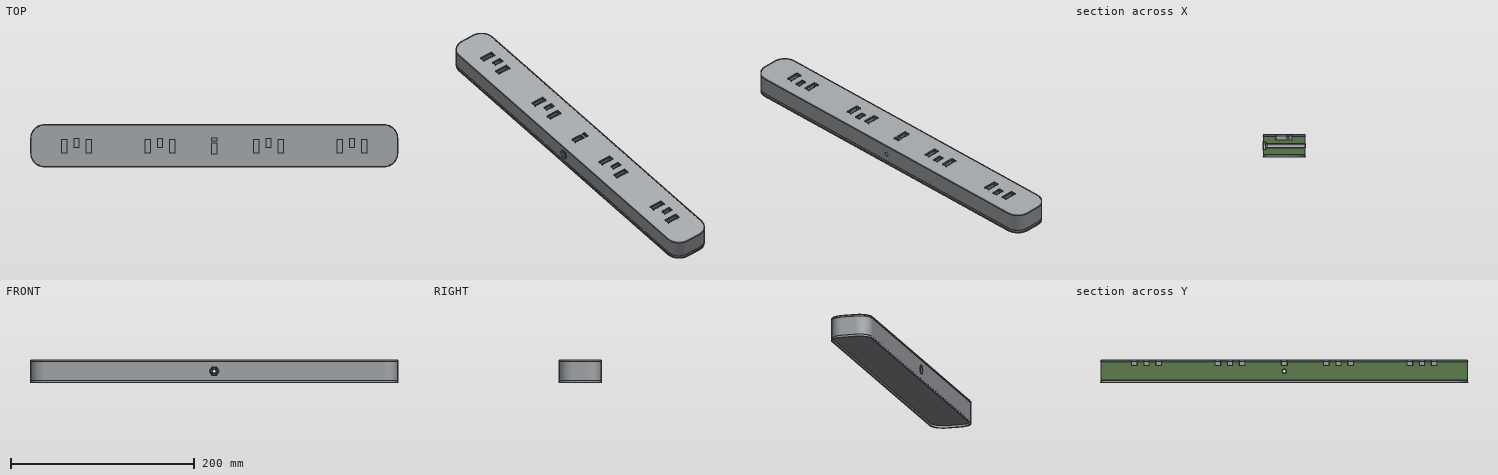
import cadquery as cq

LENGTH = 400.0
WIDTH = 46.0
HEIGHT = 25.0
LID_THICKNESS = 2.0
LID_EDGE_FILLET = 1.0
HOUSING_HEIGHT = HEIGHT - LID_THICKNESS

RIM_THICKNESS = 1.0
RECESS_CORNER_RADIUS = 14.0
RECESS_DEPTH = 2.6
CORNER_RADIUS = RECESS_CORNER_RADIUS + RIM_THICKNESS

INNER_SOCKET_X = 59.0
OUTER_SOCKET_X = 150.0
SOCKET_CENTERS_X = (-OUTER_SOCKET_X, -INNER_SOCKET_X, INNER_SOCKET_X, OUTER_SOCKET_X)
SLOT_DEPTH = 6.0
BLADE_OFFSET_X = 13.0
BLADE_Y = -0.5
BLADE_WIDTH = 6.0
BLADE_LENGTH = 15.0
GROUND_Y = 3.0
GROUND_WIDTH = 5.0
GROUND_LENGTH = 10.0

MIDDLE_WIDTH = 6.0
SMALL_OPENING_Y = 7.0
SMALL_OPENING_LENGTH = 3.0
LARGE_OPENING_Y = -3.0
LARGE_OPENING_LENGTH = 12.0

INLET_Z = HEIGHT / 2
HEX_ACROSS_CORNERS = 10.5
HEX_DEPTH = 0.5
INLET_STEP = 2.0
OUTER_COUNTERBORE_DIAMETER = 8.0
INNER_COUNTERBORE_DIAMETER = 5.0
BORE_DIAMETER = 4.0


def rounded_block(length, width, height, corner_radius, bottom_z):
    """Upright block with rounded vertical edges, centred on the Z axis."""
    block = cq.Workplane().box(length, width, height, centered=(True, True, False))
    return block.edges("|Z").fillet(corner_radius).translate((0, 0, bottom_z))


def top_slot(x, y, width, length):
    """Cutter for a rectangular pocket sunk from the top of the lid."""
    slot = cq.Workplane().box(width, length, SLOT_DEPTH, centered=(True, True, False))
    return slot.translate((x, y, HEIGHT - SLOT_DEPTH))


def slot_cutters():
    """All pockets in the top: four sockets and the middle pair."""
    cutters = [
        top_slot(0, SMALL_OPENING_Y, MIDDLE_WIDTH, SMALL_OPENING_LENGTH),
        top_slot(0, LARGE_OPENING_Y, MIDDLE_WIDTH, LARGE_OPENING_LENGTH),
    ]
    for socket_x in SOCKET_CENTERS_X:
        cutters.append(top_slot(socket_x, GROUND_Y, GROUND_WIDTH, GROUND_LENGTH))
        for side in (-1, 1):
            blade_x = socket_x + side * BLADE_OFFSET_X
            cutters.append(top_slot(blade_x, BLADE_Y, BLADE_WIDTH, BLADE_LENGTH))
    return cutters


def inlet_cutter():
    """Cutter for the stepped inlet, entering from the -Y wall and leaving through the +Y wall."""
    wall = cq.Workplane("XZ", origin=(0, -WIDTH / 2, INLET_Z))
    cutter = wall.polygon(6, HEX_ACROSS_CORNERS).extrude(-HEX_DEPTH)
    outer_depth = HEX_DEPTH + INLET_STEP
    inner_depth = outer_depth + INLET_STEP
    steps = (
        (OUTER_COUNTERBORE_DIAMETER, outer_depth),
        (INNER_COUNTERBORE_DIAMETER, inner_depth),
        (BORE_DIAMETER, WIDTH),
    )
    for diameter, depth in steps:
        cutter = cutter.union(wall.circle(diameter / 2).extrude(-depth))
    return cutter


def make_housing():
    """Lower body: recessed underneath, holding the slot bottoms and the inlet."""
    body = rounded_block(LENGTH, WIDTH, HOUSING_HEIGHT, CORNER_RADIUS, 0)
    recess = rounded_block(
        LENGTH - 2 * RIM_THICKNESS,
        WIDTH - 2 * RIM_THICKNESS,
        RECESS_DEPTH,
        RECESS_CORNER_RADIUS,
        0,
    )
    body = body.cut(recess).cut(inlet_cutter())
    for cutter in slot_cutters():
        body = body.cut(cutter)
    return body


def make_lid():
    """Top plate with a rounded upper edge; the slots pass through it."""
    plate = rounded_block(LENGTH, WIDTH, LID_THICKNESS, CORNER_RADIUS, HOUSING_HEIGHT)
    plate = plate.faces(">Z").edges().fillet(LID_EDGE_FILLET)
    for cutter in slot_cutters():
        plate = plate.cut(cutter)
    return plate


housing = make_housing()
lid = make_lid()
result = cq.Compound.makeCompound([housing.val(), lid.val()])